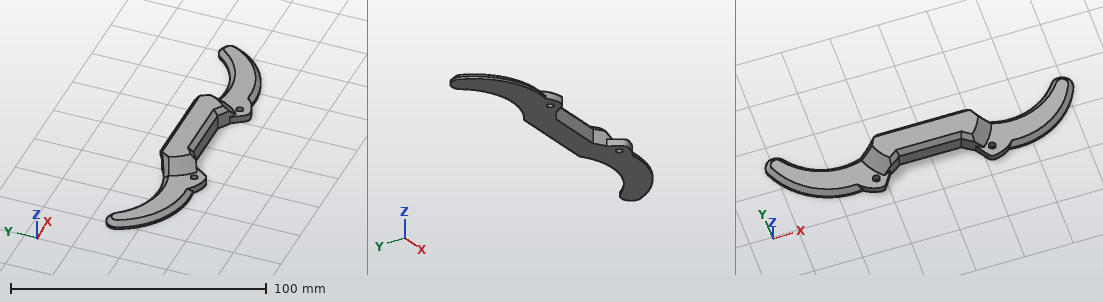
import cadquery as cq
import math

height = 8.3
arm_thickness = 3.0
length = 126.5

tip_radius = 4.4
tip_y = 22.9
tip_x = tip_radius - length / 2
outer_center = (-34.2, 33.8)
inner_center = (-34.7, 40.9)
outer_radius = math.dist((tip_x, tip_y), outer_center) + tip_radius
inner_radius = math.dist((tip_x, tip_y), inner_center) - tip_radius
outer_mid_angle = -125
arm_chamfer = 2.0

bar_back_y = 21.4
bar_front_y = 9.5
bar_front_half = 12.8
bar_front_chamfer = 2.0
bar_back_chamfer = 1.5
shoulder_point = (-17.6, 6.3)
shoulder_start_x = -30.0
relief_depth = 1.1
relief_height = 5.7

step_center = (-6.3, 21.1)
step_top_radius = 16.2
step_base_radius = step_top_radius + height - arm_thickness
step_cutter_radius = 75.9

tag_hole = (-23.9, 4.7)
tag_hole_diameter = 2.8
tag_start = (-32.3, 4.8)
tag_curve_point = (-28.5, 1.6)
tag_curve_end = (-23.9, 0.1)
tag_corner_mid = (-22.5, 0.1)
tag_corner_end = (-21.3, 0.9)
tag_inner_point = (-22.8, 8.9)


def on_circle(center, radius, angle):
    """Point on a circle at an angle in radians."""
    return (center[0] + radius * math.cos(angle), center[1] + radius * math.sin(angle))


def angle_to(center, point):
    """Direction in radians from a centre to a point."""
    return math.atan2(point[1] - center[1], point[0] - center[0])


def half_prism():
    """Full-height prism of the left arm and the left half of the bar."""
    tip = (tip_x, tip_y)
    inner_angle = angle_to(tip, inner_center)
    outer_angle = angle_to(outer_center, tip)
    inner_tip = on_circle(tip, tip_radius, inner_angle)
    outer_tip = on_circle(outer_center, outer_radius, outer_angle)
    tip_mid = on_circle(tip, tip_radius, (inner_angle + outer_angle + 2 * math.pi) / 2)
    drop = inner_center[1] - bar_back_y
    back_corner = (inner_center[0] + math.sqrt(inner_radius**2 - drop**2), bar_back_y)
    inner_mid = (inner_center[0], inner_center[1] - inner_radius)
    outer_mid = on_circle(outer_center, outer_radius, math.radians(outer_mid_angle))
    run = shoulder_start_x - outer_center[0]
    shoulder_start = (shoulder_start_x, outer_center[1] - math.sqrt(outer_radius**2 - run**2))
    return (
        cq.Workplane("XY")
        .moveTo(0, bar_back_y)
        .lineTo(*back_corner)
        .threePointArc(inner_mid, inner_tip)
        .threePointArc(tip_mid, outer_tip)
        .threePointArc(outer_mid, shoulder_start)
        .threePointArc(shoulder_point, (-bar_front_half, bar_front_y))
        .lineTo(0, bar_front_y)
        .close()
        .extrude(height)
    )


def step_cutter():
    """Space above the arm, bounded by the conical step."""
    ring = (
        cq.Workplane("XZ")
        .polyline([
            (step_base_radius, arm_thickness),
            (step_top_radius, height),
            (step_cutter_radius, height),
            (step_cutter_radius, arm_thickness),
        ])
        .close()
        .revolve(180, (0, 0, 0), (0, 1, 0))
    )
    return ring.rotate((0, 0, 0), (0, 0, 1), 90).translate((*step_center, 0))


def in_box(low, high):
    """Selector for edges whose centre lies between two corners."""
    return cq.selectors.BoxSelector(low, high)


def relief():
    """Undercut along the lower back of the bar, with a 45 degree roof."""
    return (
        cq.Workplane("YZ")
        .polyline([
            (bar_back_y, 0),
            (bar_back_y, relief_height),
            (bar_back_y - relief_depth, relief_height - relief_depth),
            (bar_back_y - relief_depth, 0),
        ])
        .close()
        .extrude(bar_front_half * 2, both=True)
    )


def tag():
    """Flat unchamfered screw tag."""
    return (
        cq.Workplane("XY")
        .moveTo(*tag_start)
        .threePointArc(tag_curve_point, tag_curve_end)
        .threePointArc(tag_corner_mid, tag_corner_end)
        .lineTo(*shoulder_point)
        .lineTo(*tag_inner_point)
        .close()
        .extrude(arm_thickness)
    )


margin = 0.1
top_low = height - margin
top_high = height + margin
bar_front_edges = in_box((-17.7, 6.3, top_low), (-1.3, 11.4, top_high))
arm_edges = in_box((-45.5, 15.8, arm_thickness - margin), (-16.5, 19.6, top_high))
bar_back_edge = in_box((-11.4, bar_back_y - margin, top_low), (-1.3, bar_back_y + margin, top_high))

half = half_prism().cut(step_cutter())
half = half.edges(bar_front_edges).chamfer(bar_front_chamfer)
half = half.edges(arm_edges).chamfer(arm_chamfer)
half = half.edges(bar_back_edge).chamfer(bar_back_chamfer)
body = half.union(half.mirror("YZ")).cut(relief())

hole = cq.Workplane("XY").center(*tag_hole).circle(tag_hole_diameter / 2).extrude(height)
body = body.union(tag()).union(tag().mirror("YZ"))
result = body.cut(hole).cut(hole.mirror("YZ"))